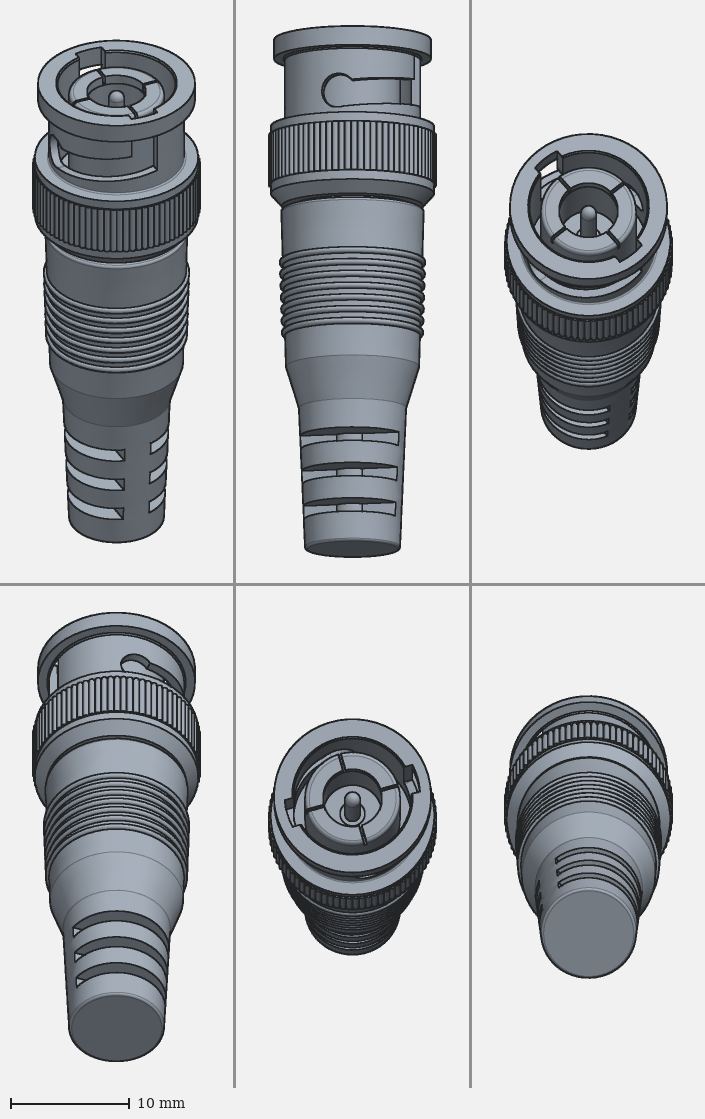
import cadquery as cq
import math

LENGTH = 43.5
BOOT_TOP = 29.0

BOOT_TOP_R = 6.0
BOOT_SHOULDER_R = 5.6
BOOT_SHOULDER_Z = 15.57
BOOT_TAIL_R = 4.52
BOOT_TAIL_Z = 12.05
BOOT_END_R = 4.0
BOOT_ROUND = 0.2

GRIP_COUNT = 7
GRIP_PITCH = 1.0
GRIP_TOP_Z = 24.5
GRIP_R = 0.25

FLEX_COUNT = 3
FLEX_PITCH = 3.0
FLEX_TOP_Z = 9.6
FLEX_HEIGHT = 1.15
FLEX_WEB = 2.4
FLEX_CORE_R = 1.6

COUPLING_BOTTOM = 29.3
COLLAR_R = 6.87
COLLAR_NOSE_R = 5.9
COLLAR_NOSE_TOP = 30.35
COLLAR_TOP = 36.1
KNURL_BOTTOM = 31.15
KNURL_TOP = 35.32
KNURL_R = 7.05
KNURL_ROOT_R = 6.75
KNURL_COUNT = 80
SLEEVE_R = 5.7
SLEEVE_ROUND = 0.15
FLANGE_R = 6.6
FLANGE_BOTTOM = 41.9
BORE_R = 4.95
BORE_CHAMFER = 0.15

ENTRY_WIDTH = 2.4
RAMP_START_Z = 37.9
RAMP_WIDTH = 2.2
RAMP_PITCH = 3.35
LATCH_R = 1.45
LATCH_Z = 38.2

FLOOR_TOP = 34.65
CONTACT_R = 4.0
CONTACT_TOP = 42.67
CONTACT_ROUND = 0.35
CONTACT_BORE_R = 2.5
SPLIT_WIDTH = 0.2

CUP_TOP = 41.85
CUP_R = 3.2
CUP_FLOOR = 36.55

PIN_R = 0.65
PIN_TOP = 42.65
PIN_FOOT_R = 1.05


def cylinder(radius, bottom, top):
    """Upright cylinder on the Z axis."""
    return cq.Workplane("XY").workplane(offset=bottom).circle(radius).extrude(top - bottom)


def boot_radius(z):
    """Outer radius of the upper boot taper at height z."""
    share = (z - BOOT_SHOULDER_Z) / (BOOT_TOP - BOOT_SHOULDER_Z)
    return BOOT_SHOULDER_R + share * (BOOT_TOP_R - BOOT_SHOULDER_R)


def flex_slot(top):
    """Slot through both sides of the boot tail, leaving the web and the round core."""
    bottom = top - FLEX_HEIGHT
    width = 2 * BOOT_TAIL_R
    web = cq.Workplane("XY").workplane(offset=bottom).rect(width, FLEX_WEB).extrude(FLEX_HEIGHT)
    core = cylinder(FLEX_CORE_R, bottom, top)
    return cylinder(BOOT_TAIL_R, bottom, top).cut(web).cut(core)


def make_boot():
    """Tapered solid of revolution with half-round grip rings and flex slots in its tail."""
    outline = (
        cq.Workplane("XZ")
        .moveTo(0, 0)
        .lineTo(BOOT_END_R, 0)
        .lineTo(BOOT_TAIL_R, BOOT_TAIL_Z)
        .lineTo(BOOT_SHOULDER_R, BOOT_SHOULDER_Z)
    )
    for i in reversed(range(GRIP_COUNT)):
        z = GRIP_TOP_Z - i * GRIP_PITCH
        outline = outline.lineTo(boot_radius(z - GRIP_R), z - GRIP_R).threePointArc(
            (boot_radius(z) + GRIP_R, z), (boot_radius(z + GRIP_R), z + GRIP_R)
        )
    boot = (
        outline.lineTo(BOOT_TOP_R, BOOT_TOP)
        .lineTo(0, BOOT_TOP)
        .close()
        .revolve(360, (0, 0, 0), (0, 1, 0))
        .faces("<Z or >Z")
        .edges()
        .fillet(BOOT_ROUND)
    )
    for i in range(FLEX_COUNT):
        boot = boot.cut(flex_slot(FLEX_TOP_Z - i * FLEX_PITCH))
    return boot


def make_knurl():
    """Band of half-round teeth that meet in sharp valleys."""
    step = 2 * math.pi / KNURL_COUNT

    def at(radius, turn):
        """Point on a circle, a number of tooth steps round from +X."""
        return (radius * math.cos(turn * step), radius * math.sin(turn * step))

    outline = cq.Workplane("XY").workplane(offset=KNURL_BOTTOM).moveTo(*at(KNURL_ROOT_R, -0.5))
    for i in range(KNURL_COUNT):
        outline = outline.threePointArc(at(KNURL_R, i), at(KNURL_ROOT_R, i + 0.5))
    return outline.close().extrude(KNURL_TOP - KNURL_BOTTOM)


def bayonet_slot_cutters():
    """Cutters for the slot that enters at +X, ramps down and round to a latch hole at -Y."""
    entry_angle = 90 + math.degrees(math.asin(ENTRY_WIDTH / 2 / SLEEVE_R))
    mid_r = (BORE_R + SLEEVE_R) / 2
    depth = 2 * (SLEEVE_R - BORE_R)
    path = cq.Wire.makeHelix(RAMP_PITCH, RAMP_PITCH * entry_angle / 360, mid_r)
    ramp = (
        cq.Workplane("XZ")
        .center(mid_r, 0)
        .rect(depth, RAMP_WIDTH)
        .sweep(cq.Workplane(path), isFrenet=True)
        .rotate((0, 0, 0), (0, 0, 1), -90)
        .translate((0, 0, RAMP_START_Z))
    )
    entry_bottom = RAMP_START_Z + RAMP_PITCH * entry_angle / 360 - RAMP_WIDTH / 2
    entry = (
        cq.Workplane("XY")
        .workplane(offset=entry_bottom)
        .center(FLANGE_R / 2, 0)
        .rect(FLANGE_R, ENTRY_WIDTH)
        .extrude(LENGTH - entry_bottom)
        .intersect(cylinder(SLEEVE_R, entry_bottom, LENGTH))
    )
    latch = cq.Workplane("XZ").center(0, LATCH_Z).circle(LATCH_R).extrude(FLANGE_R)
    return [ramp, entry, latch]


def make_coupling():
    """Flanged bayonet sleeve and knurled collar in one piece, with two opposite slots."""
    nose = (
        cq.Workplane("XY")
        .workplane(offset=COUPLING_BOTTOM)
        .circle(COLLAR_NOSE_R)
        .workplane(offset=COLLAR_NOSE_TOP - COUPLING_BOTTOM)
        .circle(COLLAR_R)
        .loft()
    )
    smallest = cq.selectors.RadiusNthSelector(0)
    barrel = (
        cylinder(COLLAR_R, COLLAR_NOSE_TOP, COLLAR_TOP)
        .union(cylinder(SLEEVE_R, COLLAR_TOP, FLANGE_BOTTOM))
        .union(cylinder(FLANGE_R, FLANGE_BOTTOM, LENGTH))
        .edges("%CIRCLE")
        .edges(smallest)
        .fillet(SLEEVE_ROUND)
    )
    coupling = (
        nose.union(barrel)
        .union(make_knurl())
        .cut(cylinder(BORE_R, COUPLING_BOTTOM, LENGTH))
    )
    coupling = coupling.faces(">Z").edges("%CIRCLE").edges(smallest).chamfer(BORE_CHAMFER)
    for cutter in bayonet_slot_cutters():
        coupling = coupling.cut(cutter)
        coupling = coupling.cut(cutter.rotate((0, 0, 0), (0, 0, 1), 180))
    return coupling


def make_contact():
    """Neck that fills the coupling bore, carrying a tube split crosswise at its mouth."""
    contact = cylinder(BORE_R, BOOT_TOP, FLOOR_TOP)
    tube = cylinder(CONTACT_R, FLOOR_TOP, CONTACT_TOP).faces(">Z").edges().fillet(CONTACT_ROUND)
    contact = contact.union(tube).cut(cylinder(CONTACT_BORE_R, FLOOR_TOP, CONTACT_TOP))
    contact = contact.cut(cylinder(CUP_R, FLOOR_TOP, CUP_TOP))
    split = (
        cq.Workplane("XY")
        .workplane(offset=CUP_TOP)
        .rect(2 * CONTACT_R, SPLIT_WIDTH)
        .extrude(CONTACT_TOP - CUP_TOP)
    )
    return contact.cut(split).cut(split.rotate((0, 0, 0), (0, 0, 1), 90))


def make_cup():
    """Insulator cup with a hole in its floor for the pin foot."""
    return (
        cylinder(CUP_R, FLOOR_TOP, CUP_TOP)
        .cut(cylinder(CONTACT_BORE_R, CUP_FLOOR, CUP_TOP))
        .cut(cylinder(PIN_FOOT_R, FLOOR_TOP, CUP_FLOOR))
    )


def make_pin():
    """Round-tipped pin on a wider foot that sits in the cup floor."""
    foot = cylinder(PIN_FOOT_R, FLOOR_TOP, CUP_FLOOR)
    shank = cylinder(PIN_R, CUP_FLOOR, PIN_TOP - PIN_R)
    tip = cq.Workplane("XY").sphere(PIN_R).translate((0, 0, PIN_TOP - PIN_R))
    return foot.union(shank).union(tip)


boot = make_boot()
coupling = make_coupling()
contact = make_contact()
cup = make_cup()
pin = make_pin()

result = cq.Compound.makeCompound([boot.val(), coupling.val(), contact.val(), cup.val(), pin.val()])